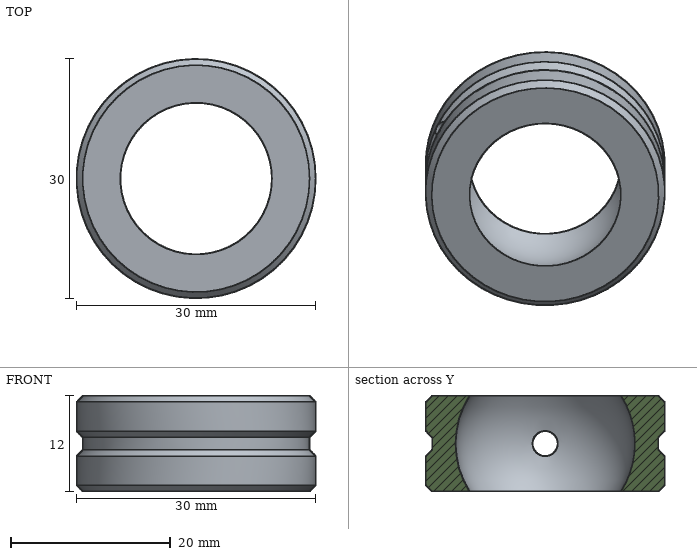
import cadquery as cq

outer_radius = 15.0
height = 12.0
half_height = height / 2

chamfer_radial = 0.78
chamfer_axial = 0.78

groove_depth = 0.78
groove_floor_width = 1.55
groove_mouth_width = 3.12

seat_radius = 11.22

oil_hole_diameter = 3.12


def ring_blank():
    """Revolve the chamfered, grooved outside profile about the Z axis."""
    face_radius = outer_radius - chamfer_radial
    floor_radius = outer_radius - groove_depth
    shoulder = half_height - chamfer_axial
    profile = [
        (0, -half_height),
        (face_radius, -half_height),
        (outer_radius, -shoulder),
        (outer_radius, -groove_mouth_width / 2),
        (floor_radius, -groove_floor_width / 2),
        (floor_radius, groove_floor_width / 2),
        (outer_radius, groove_mouth_width / 2),
        (outer_radius, shoulder),
        (face_radius, half_height),
        (0, half_height),
    ]
    return cq.Workplane("XZ").polyline(profile).close().revolve(360, (0, 0), (0, 1))


def oil_hole():
    """Cylinder running from the ring centre out through the +Y wall."""
    return cq.Workplane("XZ").circle(oil_hole_diameter / 2).extrude(-outer_radius)


result = ring_blank().cut(cq.Workplane("XY").sphere(seat_radius)).cut(oil_hole())